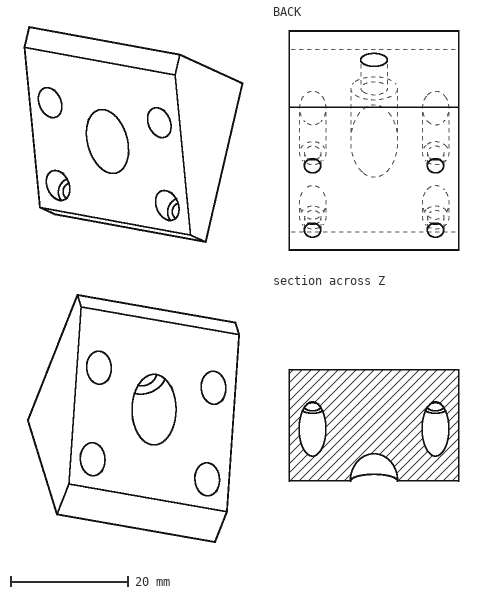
import cadquery as cq

width = 29.0
back_height = 28.0
top_depth = 26.75
front_land = 3.6
bottom_depth = 6.5
tilt_angle = 29.3

corner_spacing_x = 21.0
corner_row_drops = (11.45, 24.05)
corner_bore_diameter = 4.5
corner_hole_diameter = 2.78
corner_seat_distance = 4.5

center_setback = 16.58
center_bore_diameter = 8.03
center_hole_diameter = 4.55
center_seat_drop = 5.5


def wedge():
    """Triangular block with its two sharp edges cut to narrow flats."""
    outline = [
        (0, 0),
        (-top_depth, 0),
        (-top_depth, -front_land),
        (-bottom_depth, -back_height),
        (0, -back_height),
    ]
    return cq.Workplane("YZ").polyline(outline).close().extrude(width / 2, both=True)


def corner_holes():
    """Four through holes with wide bores that leave seats near the back face."""
    centers = []
    for x in (-corner_spacing_x / 2, corner_spacing_x / 2):
        for drop in corner_row_drops:
            centers.append((x, -drop))
    holes = cq.Workplane("XZ").pushPoints(centers).circle(corner_hole_diameter / 2).extrude(top_depth)
    bores = (
        cq.Workplane("XZ", origin=(0, -corner_seat_distance, 0))
        .pushPoints(centers)
        .circle(corner_bore_diameter / 2)
        .extrude(top_depth)
    )
    return holes.union(bores)


def center_hole():
    """Through hole from the top face, widened below its seat."""
    hole = (
        cq.Workplane("XY", origin=(0, -center_setback, 0))
        .circle(center_hole_diameter / 2)
        .extrude(-back_height)
    )
    bore = (
        cq.Workplane("XY", origin=(0, -center_setback, -center_seat_drop))
        .circle(center_bore_diameter / 2)
        .extrude(-back_height)
    )
    return hole.union(bore)


upright = wedge().cut(corner_holes()).cut(center_hole())
result = upright.rotate((0, 0, 0), (1, 0, 0), -tilt_angle)